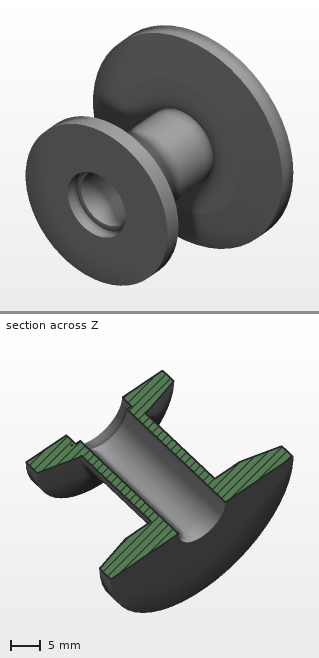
import cadquery as cq
import math

length = 28.0
large_flange_diameter = 40.0
small_flange_diameter = 30.0
barrel_diameter = 14.0
rim_width = 3.0
taper_width = 2.0
taper_angle = 15.0
bore_diameter = 10.2
counterbore_diameter = 12.2
counterbore_depth = 2.4

taper_reach = taper_width / math.tan(math.radians(taper_angle))
large_cone_radius = large_flange_diameter / 2 - taper_reach
small_cone_radius = small_flange_diameter / 2 - taper_reach

front = -length / 2
back = length / 2
small_rim_end = front + rim_width
small_taper_end = small_rim_end + taper_width
large_rim_end = back - rim_width
large_taper_end = large_rim_end - taper_width

half_section = [
    (0, front),
    (small_flange_diameter / 2, front),
    (small_flange_diameter / 2, small_rim_end),
    (small_cone_radius, small_taper_end),
    (barrel_diameter / 2, small_taper_end),
    (barrel_diameter / 2, large_taper_end),
    (large_cone_radius, large_taper_end),
    (large_flange_diameter / 2, large_rim_end),
    (large_flange_diameter / 2, back),
    (0, back),
]
spool = cq.Workplane("XY").polyline(half_section).close().revolve(360, (0, 0, 0), (0, 1, 0))

result = (
    spool.faces("<Y")
    .workplane(centerOption="CenterOfBoundBox")
    .cboreHole(bore_diameter, counterbore_diameter, counterbore_depth)
)